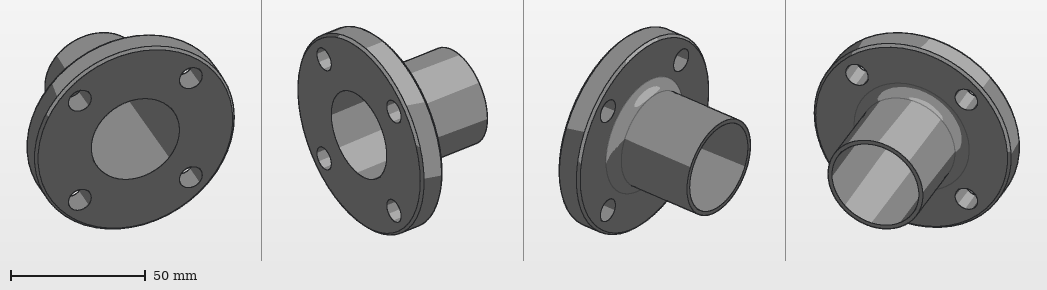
import cadquery as cq

total_length = 45.0
flange_diameter = 79.0
flange_thickness = 10.0
flange_chamfer = 1.0
pipe_diameter = 38.1
bore_diameter = 34.8
neck_fillet = 4.0
bolt_hole_diameter = 9.0
bolt_circle_diameter = 62.0
bolt_count = 4
first_bolt_angle = 45.0

flange_face_x = total_length - flange_thickness


def make_flange():
    """Disc with both rims chamfered."""
    disc = cq.Workplane("YZ").workplane(offset=flange_face_x).circle(flange_diameter / 2)
    return disc.extrude(flange_thickness).faces("<X or >X").edges().chamfer(flange_chamfer)


def make_neck():
    """Solid pipe stub that flares with a concave fillet onto the flange face."""
    pipe_radius = pipe_diameter / 2
    flare_radius = pipe_radius + neck_fillet
    fillet_start_x = flange_face_x - neck_fillet
    arc_drop = neck_fillet * 0.5 ** 0.5
    arc_middle = (fillet_start_x + arc_drop, flare_radius - arc_drop)
    profile = (
        cq.Workplane("XY")
        .lineTo(0, pipe_radius)
        .lineTo(fillet_start_x, pipe_radius)
        .threePointArc(arc_middle, (flange_face_x, flare_radius))
        .lineTo(flange_face_x, 0)
        .close()
    )
    return profile.revolve(360, (0, 0, 0), (1, 0, 0))


def make_holes():
    """Through bore and the ring of bolt holes."""
    bore = cq.Workplane("YZ").circle(bore_diameter / 2).extrude(total_length)
    bolt_holes = (
        cq.Workplane("YZ")
        .workplane(offset=flange_face_x)
        .polarArray(bolt_circle_diameter / 2, first_bolt_angle, 360, bolt_count)
        .circle(bolt_hole_diameter / 2)
        .extrude(flange_thickness)
    )
    return bore.union(bolt_holes)


result = make_flange().union(make_neck()).cut(make_holes())